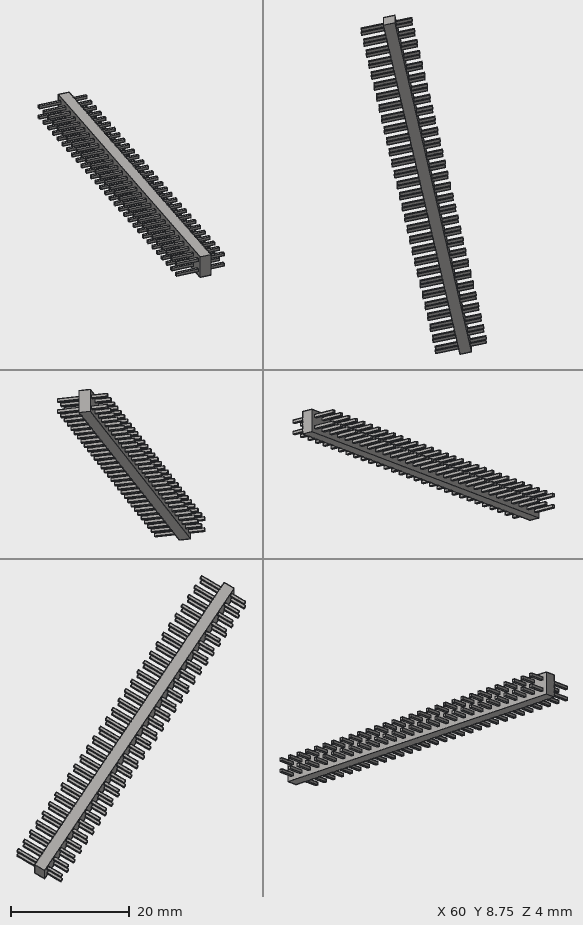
import cadquery as cq

pitch = 2.0
columns = 30
rows = 2
pin_width = 0.5

body_depth = 2.0
front_pin_reach = 4.0
back_pin_reach = 2.75

body_length = columns * pitch
body_height = rows * pitch
pin_length = front_pin_reach + body_depth + back_pin_reach


def make_body():
    """Plain rectangular housing centred on the origin."""
    return cq.Workplane("XY").box(body_length, body_depth, body_height)


def make_pins():
    """Grid of straight square pins running through the body along Y."""
    pin_center_y = (back_pin_reach - front_pin_reach) / 2
    return (
        cq.Workplane("XZ", origin=(0, pin_center_y, 0))
        .rarray(pitch, pitch, columns, rows)
        .rect(pin_width, pin_width)
        .extrude(pin_length / 2, both=True)
    )


result = make_body().union(make_pins())